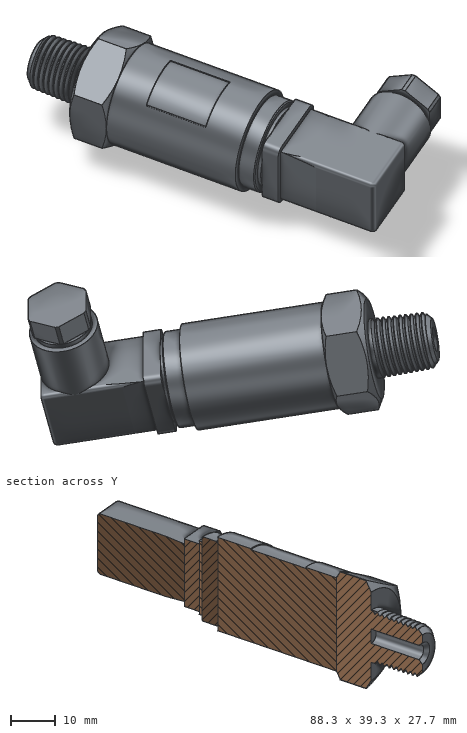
import cadquery as cq
import math


corners_per_flats = 2 / math.sqrt(3)

hex_flats = 24.0
hex_corners = hex_flats * corners_per_flats
hex_start = 13.9
hex_end = 23.5
hex_back_land = 0.1
hex_front_diameter = 22.6
hex_chamfer_angle = 30

port_nose_diameter = 9.6
port_nose_chamfer = 1.5
thread_end = 12.9
thread_end_diameter = 13.4
thread_taper = 1 / 16
thread_turns = 10
thread_length = 12.7
thread_pitch = thread_length / thread_turns
thread_depth = 0.8
groove_mouth_width = 1.2
groove_clearance = 0.1

bore_diameter = 3.5
bore_mouth_diameter = 5.5
bore_countersink = 1.0
bore_depth = hex_start

case_diameter = hex_flats
case_end = 55.6
cap_diameter = 21.7
cap_end = 59.85
cap_chamfer = 0.3
seal_diameter = 18.9
seal_end = 60.65

label_start = 31.7
label_end = 46.5
label_low = -8.65
label_high = 3.3
label_depth = 0.3

base_side = 17.4
base_corner_radius = 1.9
base_end = 64.6

head_side = 15.5
head_end = 88.3
head_edge_radius = 1.1
head_draft = 0.35
head_draft_end_z = 69.7
head_draft_end_y = 73.7

gland_x = 80.3
sleeve_diameter = 15.5
sleeve_end = 20.2
insert_diameter = 13.15
insert_end = 21.3
neck_diameter = 10.0
nut_start = 22.1
nut_end = 27.3
nut_flats = 13.15
nut_corner_flat = 0.9


def disc(start, end, diameter):
    """Cylinder on the sensor axis between two X positions."""
    return cq.Workplane("YZ", origin=(start, 0, 0)).circle(diameter / 2).extrude(end - start)


def revolve_about_x(points):
    """Solid of revolution about X from a closed outline of (x, radius) points."""
    return cq.Workplane("XY").polyline(points).close().revolve(360, (0, 0, 0), (1, 0, 0))


def gland_disc(start, end, diameter):
    """Cylinder on the gland axis between two Y positions."""
    plane = cq.Workplane("XZ", origin=(gland_x, start, 0))
    return plane.circle(diameter / 2).extrude(start - end)


def make_hexagon():
    """Hexagon with two corners on Z, its corners turned to a cone at both ends."""
    hexagon = (
        cq.Workplane("YZ", origin=(hex_start, 0, 0))
        .polygon(6, hex_corners)
        .extrude(hex_end - hex_start)
        .rotate((0, 0, 0), (1, 0, 0), 90)
    )
    slope = math.tan(math.radians(hex_chamfer_angle))
    corner_radius = hex_corners / 2
    front_radius = hex_front_diameter / 2
    back_radius = hex_flats / 2
    back_chamfer_end = hex_end - hex_back_land
    turned_blank = revolve_about_x([
        (hex_start, 0),
        (hex_start, front_radius),
        (hex_start + (corner_radius - front_radius) * slope, corner_radius),
        (back_chamfer_end - (corner_radius - back_radius) * slope, corner_radius),
        (back_chamfer_end, back_radius),
        (hex_end, back_radius),
        (hex_end, 0),
    ])
    return hexagon.intersect(turned_blank)


def crest_radius(x):
    """Radius of the thread crests, which grows along the tapered port."""
    return thread_end_diameter / 2 - (thread_end - x) * thread_taper / 2


def make_port():
    """Tapered port with a chamfered nose and a helical V groove for the thread."""
    blank = revolve_about_x([
        (0, 0),
        (0, port_nose_diameter / 2),
        (port_nose_chamfer, crest_radius(port_nose_chamfer)),
        (hex_start, crest_radius(hex_start)),
        (hex_start, 0),
    ])
    groove_start = thread_end - thread_length
    root_radius = crest_radius(groove_start) - thread_depth
    outer_radius = crest_radius(groove_start) + groove_clearance
    half_width = groove_mouth_width / 2
    taper_angle = math.degrees(math.atan(thread_taper / 2))
    helix = cq.Wire.makeHelix(
        thread_pitch,
        thread_length,
        crest_radius(groove_start),
        cq.Vector(0, 0, 0),
        cq.Vector(0, 0, 1),
        taper_angle,
    )
    cutter = (
        cq.Workplane("XZ")
        .polyline([(root_radius, 0), (outer_radius, -half_width), (outer_radius, half_width)])
        .close()
        .sweep(cq.Workplane(obj=helix), isFrenet=True)
    )
    cutter = cutter.rotate((0, 0, 0), (0, 1, 0), -90).rotate((0, 0, 0), (0, 0, 1), 180)
    cutter = cutter.translate((groove_start, 0, 0))
    return blank.cut(cutter)


def make_fitting():
    """Threaded port and hexagon, with a countersunk blind bore."""
    bore = revolve_about_x([
        (0, 0),
        (0, bore_mouth_diameter / 2),
        (bore_countersink, bore_diameter / 2),
        (bore_depth, bore_diameter / 2),
        (bore_depth, 0),
    ])
    return make_port().union(make_hexagon()).cut(bore)


def make_case():
    """Plain case with a shallow label recess that follows the curved surface."""
    case = disc(hex_end, case_end, case_diameter)
    label_length = label_end - label_start
    label_width = label_high - label_low
    label_block = cq.Workplane("XY").box(label_length, label_width, case_diameter, centered=False)
    label_block = label_block.translate((label_start, label_low, 0))
    label_floor = disc(label_start, label_end, case_diameter - 2 * label_depth)
    return case.cut(label_block.cut(label_floor))


def make_cap():
    """Ring that closes the case, chamfered at both ends."""
    return disc(case_end, cap_end, cap_diameter).edges().chamfer(cap_chamfer)


def make_seal():
    """Thin disc between the cap and the connector base."""
    return disc(cap_end, seal_end, seal_diameter)


def make_base():
    """Square connector base with rounded corners."""
    base = cq.Workplane("YZ", origin=(seal_end, 0, 0)).rect(base_side, base_side)
    return base.extrude(base_end - seal_end).edges("|X").fillet(base_corner_radius)


def make_drafted_prism(draft_end):
    """Prism along Z, in outline the head narrowed towards the base on both sides."""
    half = head_side / 2
    narrow = half - head_draft
    outline = [
        (base_end, -narrow),
        (draft_end, -half),
        (head_end, -half),
        (head_end, half),
        (draft_end, half),
        (base_end, narrow),
    ]
    return cq.Workplane("XY").polyline(outline).close().extrude(half, both=True)


def make_head():
    """Rounded connector head with drafted sides, and the round gland sleeve."""
    head = cq.Workplane("YZ", origin=(base_end, 0, 0)).rect(head_side, head_side)
    head = head.extrude(head_end - base_end).edges("|X or >X").fillet(head_edge_radius)
    drafted_z = make_drafted_prism(head_draft_end_z).rotate((0, 0, 0), (1, 0, 0), 90)
    drafted_y = make_drafted_prism(head_draft_end_y)
    head = head.intersect(drafted_z).intersect(drafted_y)
    return head.union(gland_disc(0, sleeve_end, sleeve_diameter))


def make_insert():
    """Flanged gland insert between the sleeve and the nut."""
    flange = gland_disc(sleeve_end, insert_end, insert_diameter)
    return flange.union(gland_disc(insert_end, nut_start, neck_diameter))


def make_nut():
    """Hexagonal gland nut with two corners on Z and all its corners cut flat."""
    corners = nut_flats * corners_per_flats
    corner_leg = nut_corner_flat / math.sqrt(3)
    return (
        cq.Workplane("XZ", origin=(gland_x, nut_start, 0))
        .transformed(rotate=(0, 0, 90))
        .polygon(6, corners)
        .extrude(nut_start - nut_end)
        .edges("|Y")
        .chamfer(corner_leg)
    )


fitting = make_fitting()
case = make_case()
cap = make_cap()
seal = make_seal()
base = make_base()
head = make_head()
insert = make_insert()
nut = make_nut()

result = cq.Compound.makeCompound([
    fitting.val(),
    case.val(),
    cap.val(),
    seal.val(),
    base.val(),
    head.val(),
    insert.val(),
    nut.val(),
])